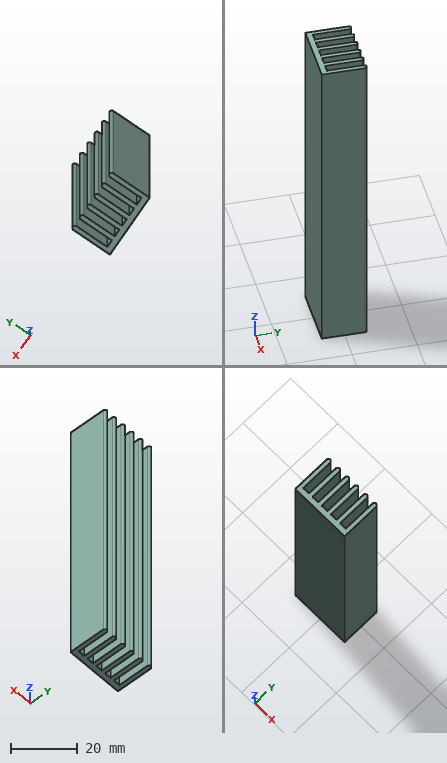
import cadquery as cq

width = 21.0
depth = 14.0
length = 100.0

base_thickness = 2.0
fin_count = 6
fin_thickness = 1.5
fin_pitch = (width - fin_thickness) / (fin_count - 1)
tip_radius = fin_thickness / 2
fin_shoulder = depth - tip_radius


def make_base():
    """Flat plate that carries the fins."""
    return cq.Workplane("XY").box(width, base_thickness, length, centered=False)


def make_fin(left):
    """One fin with a full-round tip, standing on the outer face of the plate."""
    right = left + fin_thickness
    return (
        cq.Workplane("XY")
        .moveTo(left, 0)
        .lineTo(right, 0)
        .lineTo(right, fin_shoulder)
        .threePointArc((left + tip_radius, depth), (left, fin_shoulder))
        .close()
        .extrude(length)
    )


heatsink = make_base()
for index in range(fin_count):
    heatsink = heatsink.union(make_fin(index * fin_pitch))

result = heatsink.clean()